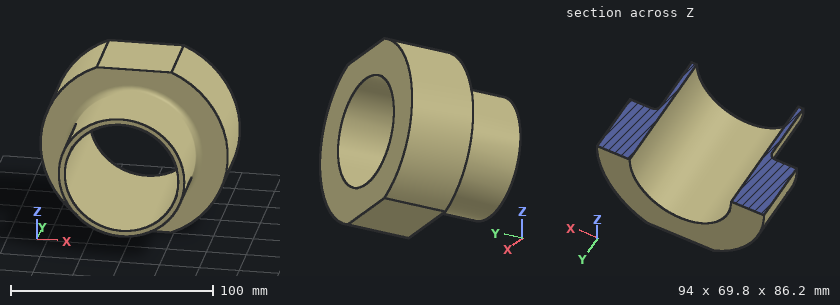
import cadquery as cq

body_diameter = 94.0
flats_height = 86.2
total_length = 69.8
body_length = 34.5
spigot_diameter = 63.0
bore_diameter = 56.95
fillet_radius = 3.0

spigot_length = total_length - body_length


def along_y(diameter, length):
    """Cylinder from the shoulder plane (Y = 0) toward +Y, or -Y for a negative length."""
    return cq.Workplane("XZ").circle(diameter / 2).extrude(-length)


flats_block = cq.Workplane("XY").box(body_diameter, 2 * body_length, flats_height)
collar = along_y(body_diameter, body_length).intersect(flats_block)

spigot = along_y(spigot_diameter, -spigot_length)
shoulder_corner = cq.selectors.RadiusNthSelector(0)
outer = collar.union(spigot)
outer = outer.faces("<Y[1]").edges("%CIRCLE").edges(shoulder_corner).fillet(fillet_radius)

bore = along_y(bore_diameter, body_length).union(along_y(bore_diameter, -spigot_length))
result = outer.cut(bore)